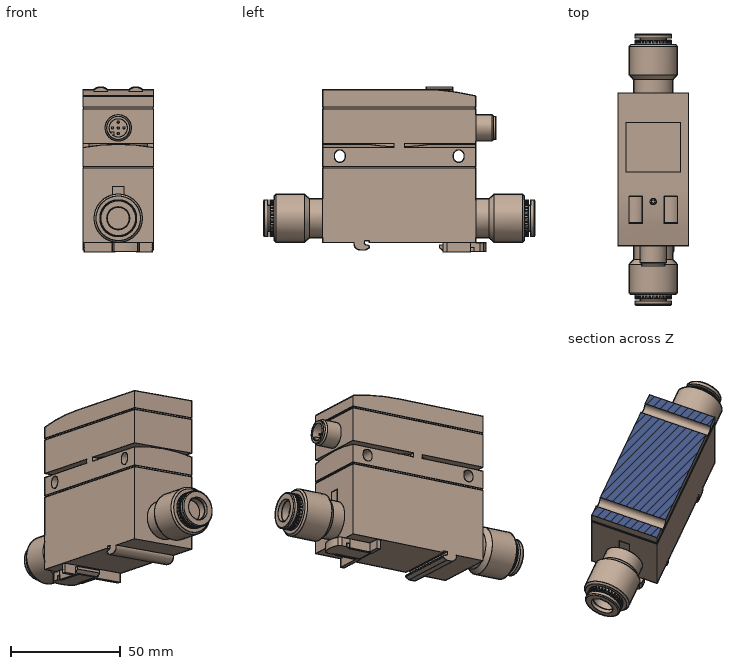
import cadquery as cq
import math


OVERALL_LENGTH = 123.8
WIDTH = 32.3
LENGTH = 70.0
HEIGHT = 69.8
FRONT_HEIGHT = 67.0
SLOPE_START_Y = -10.2
FRONT_EDGE_CHAMFER = 0.4
HALF_WIDTH = WIDTH / 2
HALF_LENGTH = LENGTH / 2

SEAM_LEVELS = (34.0, 61.0)
SEAM_HEIGHT = 0.7
SEAM_DEPTH = 0.2
SLOT_TOP = 45.2
SLOT_CROWN = 44.8
SLOT_SIDE = 43.3
PILLAR_RADIUS = 13.6
BRIDGE_LENGTH = 4.7

HOLE_WIDTH = 4.8
HOLE_HEIGHT = 5.6
HOLE_Y = 27.1
HOLE_Z = 39.5

DISPLAY_WIDTH = 25.0
DISPLAY_FRONT_Y = -1.1
DISPLAY_REAR_Y = 21.5
DISPLAY_RECESS = 0.1
LED_DIAMETER = 2.8
LED_LENS_DIAMETER = 1.6
LED_Y = -14.6
LED_LENS_RECESS = 0.2
LED_HEIGHT = 1.2
BUTTON_WIDTH = 6.2
BUTTON_LENGTH = 12.4
BUTTON_X = 8.0
BUTTON_Y = -18.3
BUTTON_TOP = 71.0
BUTTON_SHOULDER = 70.0
BUTTON_ROOT = 67.5
BUTTON_EDGE_CHAMFER = 0.2

LABEL_WIDTH = 5.1
LABEL_TOP = 25.6
LABEL_RECESS = 0.1

PORT_Z = 11.1
NECK_DIAMETER = 18.0
SLEEVE_DIAMETER = 22.0
RING_DIAMETER = 16.8
COLLAR_NECK_DIAMETER = 12.0
PORT_MOUTH_DIAMETER = 10.5
PORT_BORE_DIAMETER = 10.0
FITTING_END = OVERALL_LENGTH / 2
CONE_START = 41.0
CONE_END = 43.2
SLEEVE_END = 57.1
SLEEVE_CHAMFER = 0.9
RING_END = 59.0
RING_CHAMFER = 0.4
TEETH_START = 57.7
COLLAR_START = 59.9
COLLAR_CHAMFER = 0.5
PORT_MOUTH_DEPTH = 1.9
PORT_BORE_DEPTH = 5.6
TOOTH_COUNT = 32
TOOTH_GAP_WIDTH = 0.6
TOOTH_ROOT_RADIUS = 6.9

PLUG_Z = 52.4
PLUG_DIAMETER = 12.0
PLUG_TIP_DIAMETER = 10.5
PLUG_BORE_DIAMETER = 8.3
PLUG_SHOULDER = 42.3
PLUG_TIP_START = 43.1
PLUG_END = 44.1
PLUG_BORE_DEPTH = 6.2
PIN_DIAMETER = 1.0
PIN_LENGTH = 3.5
PIN_PITCH = 2.6
KEY_INNER = 1.9
KEY_OUTER = 3.2

HOOK_BACK_Y = 20.7
HOOK_BACK_Z = -0.9
HOOK_BEND = (19.5, -2.7)
HOOK_BOTTOM = -3.3
HOOK_BOTTOM_REAR_Y = 17.6
HOOK_BOTTOM_FRONT_Y = 15.3
HOOK_TIP = (13.5, -2.2)
HOOK_TIP_BEND = (13.9, -1.4)
HOOK_MOUTH = (14.9, -1.0)
HOOK_MOUTH_BEND = (15.6, -0.7)
HOOK_NOTCH_ROOF = 0.9
HOOK_NOTCH_FRONT_Y = 13.7
HOOK_NOTCH_REAR_Y = 15.8

LATCH_HEIGHT = 4.3
LATCH_BAR_WIDTH = 31.2
LATCH_BAR_REAR_Y = -19.9
LATCH_BAR_FRONT_Y = -21.8
STEM_LEFT_X = -2.8
STEM_RIGHT_X = 9.7
STEM_FRONT_Y = -32.4
TAB_HEIGHT = 4.1
TAB_CORNER_Y = -36.9
TAB_NOSE_Y = -38.5
TAB_END_Y = -39.6
TAB_SIDE_INSET = 0.1
TAB_NOSE_INSET = 0.7
CHANNEL_INSET = 1.4
WEDGE_TIP_Y = -18.3
WEDGE_TOP = -1.0
WEDGE_TIP_BOTTOM = -2.2
WEDGE_ROOT_BOTTOM = -3.7
TAB_NOTCH_LENGTH = 1.6
TAB_NOTCH_TOP = -2.17
TAB_NOTCH_DEPTH = 0.4


def box(x_min, x_max, y_min, y_max, z_min, z_max):
    """Rectangular block between the given limits."""
    size = (x_max - x_min, y_max - y_min, z_max - z_min)
    return cq.Workplane("XY").box(*size, centered=False).translate((x_min, y_min, z_min))


def extrude_across(profile, x_min, x_max):
    """Extrude a closed (y, z) outline drawn on the YZ plane from x_min to x_max."""
    return profile.extrude(x_max - x_min).translate((x_min, 0, 0))


def revolve_about_y(points):
    """Turn a closed outline of (radius, y) points about the Y axis."""
    return cq.Workplane("XY").polyline(points).close().revolve(360, (0, 0, 0), (0, 1, 0))


def rod_along_y(diameter, y_min, y_max, x=0.0, z=0.0):
    """Cylinder along Y between y_min and y_max."""
    rod = cq.Workplane("XZ").circle(diameter / 2).extrude(y_min - y_max)
    return rod.translate((x, y_min, z))


def slope_radius():
    """Radius of the top arc that leaves the flat top tangentially."""
    run = HALF_LENGTH + SLOPE_START_Y
    drop = HEIGHT - FRONT_HEIGHT
    return (run ** 2 + drop ** 2) / (2 * drop)


def top_height(y):
    """Height of the sloping part of the top at the given y."""
    radius = slope_radius()
    run = SLOPE_START_Y - y
    return HEIGHT - radius + math.sqrt(radius ** 2 - run ** 2)


def make_block():
    middle_y = (SLOPE_START_Y - HALF_LENGTH) / 2
    profile = (
        cq.Workplane("YZ")
        .moveTo(-HALF_LENGTH, 0)
        .lineTo(HALF_LENGTH, 0)
        .lineTo(HALF_LENGTH, HEIGHT)
        .lineTo(SLOPE_START_Y, HEIGHT)
        .threePointArc((middle_y, top_height(middle_y)), (-HALF_LENGTH, FRONT_HEIGHT))
        .close()
    )
    block = extrude_across(profile, -HALF_WIDTH, HALF_WIDTH)
    front_edge = cq.selectors.NearestToPointSelector((0, -HALF_LENGTH, FRONT_HEIGHT))
    return block.edges(front_edge).chamfer(FRONT_EDGE_CHAMFER)


def make_seam(level):
    """Shallow groove that runs around all four sides."""
    outer = cq.Workplane("XY").rect(WIDTH, LENGTH)
    groove = outer.rect(WIDTH - 2 * SEAM_DEPTH, LENGTH - 2 * SEAM_DEPTH).extrude(SEAM_HEIGHT)
    return groove.translate((0, 0, level))


def make_relief_slots():
    """Front and rear gaps over a crowned floor, kept apart by the core and its bridges."""
    slots = (
        cq.Workplane("XZ")
        .moveTo(-HALF_WIDTH, SLOT_TOP)
        .lineTo(-HALF_WIDTH, SLOT_SIDE)
        .threePointArc((0, SLOT_CROWN), (HALF_WIDTH, SLOT_SIDE))
        .lineTo(HALF_WIDTH, SLOT_TOP)
        .close()
        .extrude(HALF_LENGTH, both=True)
    )
    pillar = cq.Workplane("XY").circle(PILLAR_RADIUS).extrude(HEIGHT)
    half_bridge = BRIDGE_LENGTH / 2
    bridge = box(-HALF_WIDTH, HALF_WIDTH, -half_bridge, half_bridge, 0, HEIGHT)
    return slots.cut(pillar).cut(bridge)


def make_cross_holes():
    """Two upright obround holes through the width."""
    return (
        cq.Workplane("YZ")
        .pushPoints([(-HOLE_Y, HOLE_Z), (HOLE_Y, HOLE_Z)])
        .slot2D(HOLE_HEIGHT, HOLE_WIDTH, 90)
        .extrude(HALF_WIDTH, both=True)
    )


def make_display_recess():
    half = DISPLAY_WIDTH / 2
    return box(-half, half, DISPLAY_FRONT_Y, DISPLAY_REAR_Y, HEIGHT - DISPLAY_RECESS, HEIGHT)


def make_button(x):
    """Push button with a rounded top, running along Y."""
    half = BUTTON_WIDTH / 2
    return (
        cq.Workplane("XZ")
        .moveTo(-half, BUTTON_ROOT)
        .lineTo(half, BUTTON_ROOT)
        .lineTo(half, BUTTON_SHOULDER)
        .threePointArc((0, BUTTON_TOP), (-half, BUTTON_SHOULDER))
        .close()
        .extrude(BUTTON_LENGTH / 2, both=True)
        .faces(">Z")
        .chamfer(BUTTON_EDGE_CHAMFER)
        .translate((x, BUTTON_Y, 0))
    )


def make_led():
    """Indicator ring, level with the flat top, around a recessed lens."""
    ring = cq.Workplane("XY").circle(LED_DIAMETER / 2).extrude(LED_HEIGHT)
    ring = ring.faces(">Z").workplane().hole(LED_LENS_DIAMETER, LED_LENS_RECESS)
    return ring.translate((0, LED_Y, HEIGHT - LED_HEIGHT))


def make_led_seat():
    seat = cq.Workplane("XY").circle(LED_DIAMETER / 2).extrude(LED_HEIGHT)
    return seat.translate((0, LED_Y, HEIGHT - LED_HEIGHT))


def make_label_recess():
    half = LABEL_WIDTH / 2
    return box(-half, half, -HALF_LENGTH, -HALF_LENGTH + LABEL_RECESS, PORT_Z, LABEL_TOP)


def make_fitting():
    """Push-in fitting on the +Y side, with its axis on the Y axis."""
    neck = NECK_DIAMETER / 2
    sleeve = SLEEVE_DIAMETER / 2
    ring = RING_DIAMETER / 2
    collar_neck = COLLAR_NECK_DIAMETER / 2
    body = revolve_about_y([
        (0, HALF_LENGTH),
        (neck, HALF_LENGTH),
        (neck, CONE_START),
        (sleeve, CONE_END),
        (sleeve, SLEEVE_END - SLEEVE_CHAMFER),
        (sleeve - SLEEVE_CHAMFER, SLEEVE_END),
        (ring, SLEEVE_END),
        (ring, RING_END - RING_CHAMFER),
        (ring - RING_CHAMFER, RING_END),
        (collar_neck, RING_END),
        (collar_neck, COLLAR_START),
        (ring, COLLAR_START),
        (ring, FITTING_END - COLLAR_CHAMFER),
        (ring - COLLAR_CHAMFER, FITTING_END),
        (0, FITTING_END),
    ])
    half_gap = TOOTH_GAP_WIDTH / 2
    gap = box(-half_gap, half_gap, TEETH_START, RING_END, TOOTH_ROOT_RADIUS, RING_DIAMETER)
    for index in range(TOOTH_COUNT):
        body = body.cut(gap.rotate((0, 0, 0), (0, 1, 0), index * 360 / TOOTH_COUNT))
    body = body.cut(rod_along_y(PORT_MOUTH_DIAMETER, FITTING_END - PORT_MOUTH_DEPTH, FITTING_END))
    return body.cut(rod_along_y(PORT_BORE_DIAMETER, FITTING_END - PORT_BORE_DEPTH, FITTING_END))


def make_plug():
    """Round connector on the front face, with its axis on the Y axis."""
    outer = PLUG_DIAMETER / 2
    tip = PLUG_TIP_DIAMETER / 2
    shell = revolve_about_y([
        (0, -HALF_LENGTH),
        (outer, -HALF_LENGTH),
        (outer, -PLUG_SHOULDER),
        (tip, -PLUG_TIP_START),
        (tip, -PLUG_END),
        (0, -PLUG_END),
    ])
    floor_y = PLUG_BORE_DEPTH - PLUG_END
    bore = rod_along_y(PLUG_BORE_DIAMETER, -PLUG_END, floor_y)
    key = box(-KEY_OUTER, -KEY_INNER, -PLUG_END, floor_y, -KEY_OUTER, -KEY_INNER)
    plug = shell.cut(bore.cut(key))
    pin_places = [(0, 0), (PIN_PITCH, 0), (-PIN_PITCH, 0), (0, PIN_PITCH), (0, -PIN_PITCH)]
    for x, z in pin_places:
        plug = plug.union(rod_along_y(PIN_DIAMETER, floor_y - PIN_LENGTH, floor_y, x, z))
    return plug


def make_hook():
    """Curved rail hook across the whole width, open towards the front."""
    profile = (
        cq.Workplane("YZ")
        .moveTo(HOOK_BACK_Y, 0)
        .lineTo(HOOK_BACK_Y, HOOK_BACK_Z)
        .threePointArc(HOOK_BEND, (HOOK_BOTTOM_REAR_Y, HOOK_BOTTOM))
        .lineTo(HOOK_BOTTOM_FRONT_Y, HOOK_BOTTOM)
        .lineTo(*HOOK_TIP)
        .threePointArc(HOOK_TIP_BEND, HOOK_MOUTH)
        .threePointArc(HOOK_MOUTH_BEND, (HOOK_NOTCH_REAR_Y, 0))
        .close()
    )
    return extrude_across(profile, -HALF_WIDTH, HALF_WIDTH)


def make_hook_notch():
    return box(-HALF_WIDTH, HALF_WIDTH, HOOK_NOTCH_FRONT_Y, HOOK_NOTCH_REAR_Y, 0, HOOK_NOTCH_ROOF)


def make_housing():
    housing = make_block()
    for level in SEAM_LEVELS:
        housing = housing.cut(make_seam(level))
    housing = housing.cut(make_relief_slots())
    housing = housing.cut(make_cross_holes())
    housing = housing.cut(make_display_recess())
    housing = housing.cut(make_label_recess())
    housing = housing.cut(make_hook_notch())
    housing = housing.union(make_hook())
    for x in (-BUTTON_X, BUTTON_X):
        housing = housing.union(make_button(x))
    housing = housing.cut(make_led_seat()).union(make_led())
    for turn in (0, 180):
        fitting = make_fitting().rotate((0, 0, 0), (0, 0, 1), turn)
        housing = housing.union(fitting.translate((0, 0, PORT_Z)))
    return housing.union(make_plug().translate((0, 0, PLUG_Z)))


def make_latch():
    """T-shaped slide with a rail wedge at the rear and a rounded pull tab in front."""
    half_bar = LATCH_BAR_WIDTH / 2
    bar = box(-half_bar, half_bar, LATCH_BAR_FRONT_Y, LATCH_BAR_REAR_Y, -LATCH_HEIGHT, 0)
    tab_left_x = STEM_LEFT_X + TAB_SIDE_INSET
    tab_right_x = STEM_RIGHT_X - TAB_SIDE_INSET
    stem = box(STEM_LEFT_X, STEM_RIGHT_X, STEM_FRONT_Y, LATCH_BAR_FRONT_Y, -LATCH_HEIGHT, 0)
    tab = (
        cq.Workplane("XY")
        .moveTo(tab_left_x, STEM_FRONT_Y)
        .lineTo(tab_left_x, TAB_CORNER_Y)
        .lineTo(tab_left_x + TAB_NOSE_INSET, TAB_NOSE_Y)
        .threePointArc(
            ((tab_left_x + tab_right_x) / 2, TAB_END_Y),
            (tab_right_x - TAB_NOSE_INSET, TAB_NOSE_Y),
        )
        .lineTo(tab_right_x, TAB_CORNER_Y)
        .lineTo(tab_right_x, STEM_FRONT_Y)
        .close()
        .extrude(-TAB_HEIGHT)
    )
    wedge_profile = cq.Workplane("YZ").polyline([
        (LATCH_BAR_REAR_Y, WEDGE_TOP),
        (WEDGE_TIP_Y, WEDGE_TOP),
        (WEDGE_TIP_Y, WEDGE_TIP_BOTTOM),
        (LATCH_BAR_REAR_Y, WEDGE_ROOT_BOTTOM),
    ]).close()
    wedge = extrude_across(wedge_profile, STEM_LEFT_X, STEM_RIGHT_X)
    channel = box(
        STEM_LEFT_X + CHANNEL_INSET, STEM_RIGHT_X - CHANNEL_INSET,
        STEM_FRONT_Y, LATCH_BAR_REAR_Y, -LATCH_HEIGHT, -TAB_HEIGHT,
    )
    latch = bar.union(stem).union(tab).union(wedge).cut(channel)
    for side_x in (tab_left_x, tab_right_x):
        latch = latch.cut(box(
            side_x - TAB_NOTCH_DEPTH, side_x + TAB_NOTCH_DEPTH,
            STEM_FRONT_Y - TAB_NOTCH_LENGTH, STEM_FRONT_Y, -TAB_HEIGHT, TAB_NOTCH_TOP,
        ))
    return latch


housing = make_housing()
latch = make_latch()
result = cq.Compound.makeCompound([housing.val(), latch.val()])